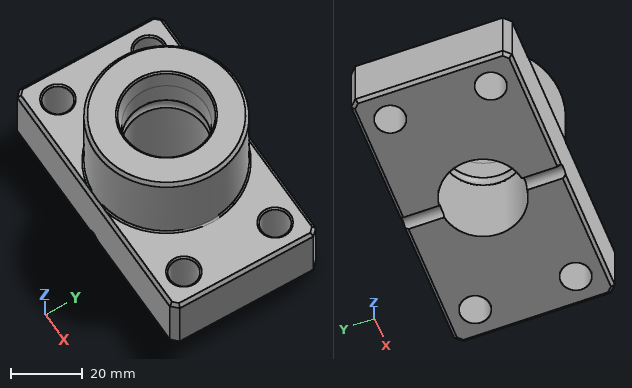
import cadquery as cq
import math

plate_length = 84.0
plate_width = 48.0
plate_height = 20.0
total_height = 45.0
corner_chamfer = 2.0
edge_chamfer = 1.0

boss_diameter = 46.0
boss_chamfer = 1.0
foot_fillet = 0.5
foot_runout_angle = 75.0

bore_diameter = 25.0
mouth_diameter = 27.2
mouth_depth = 5.0
mouth_chamfer = 0.5
oil_groove_width = 4.0
oil_groove_depth = 1.0
oil_groove_drop = 15.0

bolt_pitch_x = 66.0
bolt_pitch_y = 30.0
bolt_hole_diameter = 9.0
bolt_hole_chamfer = 0.5

bottom_notch_radius = 2.0

boss_radius = boss_diameter / 2
bore_radius = bore_diameter / 2
mouth_radius = mouth_diameter / 2


def make_plate():
    """Flange plate with cut corners and bevelled top and bottom edges."""
    plate = cq.Workplane("XY").box(plate_length, plate_width, plate_height, centered=(True, True, False))
    plate = plate.edges("|Z").chamfer(corner_chamfer)
    return plate.faces("<Z or >Z").chamfer(edge_chamfer)


def revolve_profile(profile):
    """Close a half section drawn in the XZ plane and turn it about the Z axis."""
    return profile.close().revolve(360, (0, 0, 0), (0, 1, 0))


def make_boss():
    """Round boss standing on the plate, bevelled around its top edge."""
    root_height = plate_height / 2
    boss = (
        cq.Workplane("XY", origin=(0, 0, root_height))
        .circle(boss_radius)
        .extrude(total_height - root_height)
    )
    return boss.faces(">Z").chamfer(boss_chamfer)


def make_foot_fillet():
    """Fillet ring at the boss foot, running out where it meets the long edges of the plate."""
    ring = revolve_profile(
        cq.Workplane("XZ", origin=(0, 0, plate_height))
        .lineTo(boss_radius + foot_fillet, 0)
        .radiusArc((boss_radius, foot_fillet), foot_fillet)
        .lineTo(0, foot_fillet)
    )
    flat_half_width = plate_width / 2 - edge_chamfer
    gable_height = flat_half_width * math.tan(math.radians(foot_runout_angle))
    gable = (
        cq.Workplane("YZ", origin=(0, 0, plate_height))
        .polyline([(-flat_half_width, 0), (flat_half_width, 0), (0, gable_height)])
        .close()
        .extrude(plate_length / 2, both=True)
    )
    return ring.intersect(gable)


def make_bore():
    """Through bore with a tapered, bevelled mouth and a rounded oil groove."""
    groove_height = total_height - oil_groove_drop
    half_groove = oil_groove_width / 2
    return revolve_profile(
        cq.Workplane("XZ")
        .lineTo(bore_radius, 0)
        .lineTo(bore_radius, groove_height - half_groove)
        .threePointArc(
            (bore_radius + oil_groove_depth, groove_height),
            (bore_radius, groove_height + half_groove),
        )
        .lineTo(bore_radius, total_height - mouth_depth)
        .lineTo(mouth_radius, total_height - mouth_chamfer)
        .lineTo(mouth_radius + mouth_chamfer, total_height)
        .lineTo(0, total_height)
    )


def make_bolt_holes():
    """Four through holes, bevelled at the top face of the plate."""
    hole_radius = bolt_hole_diameter / 2
    hole = revolve_profile(
        cq.Workplane("XZ")
        .lineTo(hole_radius, 0)
        .lineTo(hole_radius, plate_height - bolt_hole_chamfer)
        .lineTo(hole_radius + bolt_hole_chamfer, plate_height)
        .lineTo(0, plate_height)
    ).val()
    return (
        cq.Workplane("XY")
        .rect(bolt_pitch_x, bolt_pitch_y, forConstruction=True)
        .vertices()
        .eachpoint(lambda place: hole.located(place))
    )


def make_bottom_notch():
    """Round-topped notch running across the underside along Y."""
    return cq.Workplane("XZ").circle(bottom_notch_radius).extrude(plate_width / 2, both=True)


result = (
    make_plate()
    .union(make_boss())
    .union(make_foot_fillet())
    .cut(make_bore())
    .cut(make_bolt_holes())
    .cut(make_bottom_notch())
)